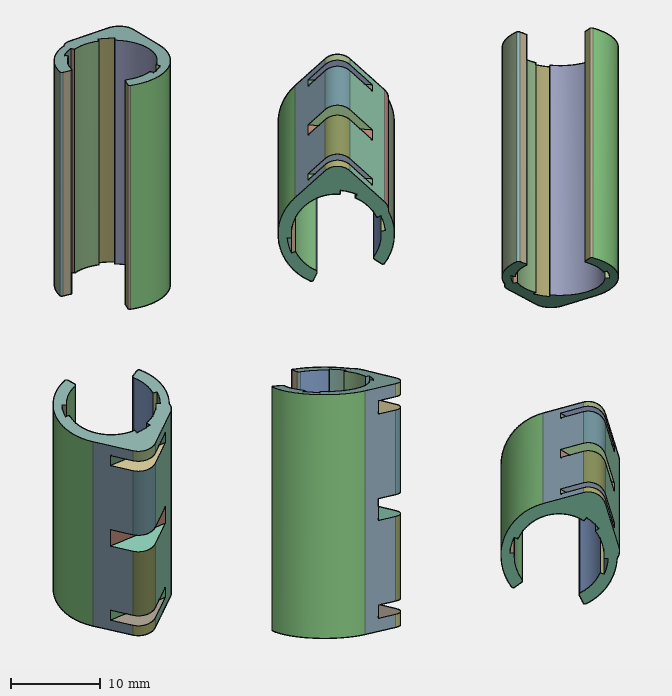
import cadquery as cq
import math

LENGTH = 28.0
OUTER_RADIUS = 6.5
BORE_RADIUS = 5.0
FLAT_X = -6.7
CORNER_RADIUS = 2.0
FLAT_END_Y = -0.92
BLEND_END_Y = -2.13

MOUTH_START = -99.0
MOUTH_END = -21.0
LIP_RADIUS = 0.25

GROOVE_RADIUS = 5.5
GROOVE_SPAN = 20.0
GROOVE_CENTERS = (30.0, 150.0, 210.0)

SLOT_END_Y = 0.98
SLOT_FLOOR_ANGLE = 50.0
END_SLOT_WIDTH = 1.5
MIDDLE_SLOT_WIDTH = 2.5
END_SLOT_MARGIN = 1.5


def polar(radius, angle):
    """Point at a radius and an angle in degrees about the bore axis."""
    radians = math.radians(angle)
    return (radius * math.cos(radians), radius * math.sin(radians))


def make_sector(radius, start, end):
    """Full-length circular sector about the bore axis."""
    return (
        cq.Workplane("XY")
        .lineTo(*polar(radius, start))
        .threePointArc(polar(radius, (start + end) / 2), polar(radius, end))
        .close()
        .extrude(LENGTH)
    )


def make_body():
    """Round body with two flat faces meeting at a rounded corner."""
    blend_end_x = -math.sqrt(OUTER_RADIUS**2 - BLEND_END_Y**2)
    blend_end_angle = math.degrees(math.atan2(BLEND_END_Y, blend_end_x))
    arc_middle = polar(OUTER_RADIUS, (blend_end_angle + 90.0) / 2)
    return (
        cq.Workplane("XY")
        .moveTo(0, OUTER_RADIUS)
        .lineTo(FLAT_X + CORNER_RADIUS, OUTER_RADIUS)
        .tangentArcPoint((FLAT_X, OUTER_RADIUS - CORNER_RADIUS), relative=False)
        .lineTo(FLAT_X, FLAT_END_Y)
        .tangentArcPoint((blend_end_x, BLEND_END_Y), relative=False)
        .threePointArc(arc_middle, (0, OUTER_RADIUS))
        .close()
        .extrude(LENGTH)
    )


def make_corner_slot(bottom, width):
    """Wedge that cuts the rounded corner back to a slanted flat floor."""
    floor_rise = OUTER_RADIUS - SLOT_END_Y
    floor_run = floor_rise / math.tan(math.radians(SLOT_FLOOR_ANGLE))
    return (
        cq.Workplane("XY", origin=(0, 0, bottom))
        .moveTo(FLAT_X, SLOT_END_Y)
        .lineTo(FLAT_X + floor_run, OUTER_RADIUS)
        .lineTo(FLAT_X, OUTER_RADIUS)
        .close()
        .extrude(width)
    )


result = make_body()
result = result.cut(cq.Workplane("XY").circle(BORE_RADIUS).extrude(LENGTH))
result = result.cut(make_sector(2 * OUTER_RADIUS, MOUTH_START, MOUTH_END))
for lip_angle in (MOUTH_START, MOUTH_END):
    for lip_edge_radius in (BORE_RADIUS, OUTER_RADIUS):
        lip_x, lip_y = polar(lip_edge_radius, lip_angle)
        lip_edge = cq.selectors.NearestToPointSelector((lip_x, lip_y, LENGTH / 2))
        result = result.edges("|Z").edges(lip_edge).fillet(LIP_RADIUS)

for center in GROOVE_CENTERS:
    result = result.cut(make_sector(GROOVE_RADIUS, center - GROOVE_SPAN / 2, center + GROOVE_SPAN / 2))

result = result.cut(make_corner_slot(END_SLOT_MARGIN, END_SLOT_WIDTH))
result = result.cut(make_corner_slot((LENGTH - MIDDLE_SLOT_WIDTH) / 2, MIDDLE_SLOT_WIDTH))
result = result.cut(make_corner_slot(LENGTH - END_SLOT_MARGIN - END_SLOT_WIDTH, END_SLOT_WIDTH))